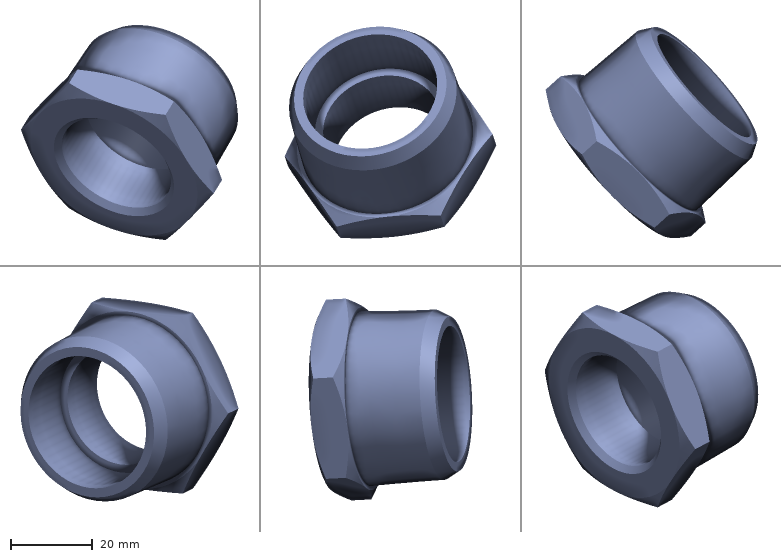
import cadquery as cq
import math

across_corners = 51.95
total_length = 31.0
head_length = 9.0
chamfer_angle = math.radians(30)
spigot_root_diameter = 43.0
spigot_end_diameter = 41.9
tip_diameter = 38.1
tip_length = 3.4
bore_diameter = 29.4
counterbore_diameter = 33.5
counterbore_depth = 15.35
mouth_diameter = 32.35
mouth_angle = math.radians(45)

corner_radius = across_corners / 2
flat_radius = corner_radius * math.cos(math.pi / 6)
corner_drop = (corner_radius - flat_radius) * math.tan(chamfer_angle)
bore_radius = bore_diameter / 2
counterbore_radius = counterbore_diameter / 2
counterbore_floor = total_length - counterbore_depth
mouth_radius = mouth_diameter / 2
mouth_depth = (mouth_radius - bore_radius) / math.tan(mouth_angle)


def revolve_about_y(profile):
    """Turn a closed (radius, y) profile about the Y axis."""
    return cq.Workplane("XY").polyline(profile).close().revolve(360, (0, 0, 0), (0, 1, 0))


def make_head():
    """Hexagon with corners on +/-X, its corners chamfered at both ends."""
    hexagon = cq.Workplane("XZ").polygon(6, across_corners).extrude(-head_length)
    envelope = revolve_about_y([
        (0, 0),
        (flat_radius, 0),
        (corner_radius, corner_drop),
        (corner_radius, head_length - corner_drop),
        (flat_radius, head_length),
        (0, head_length),
    ])
    return hexagon.intersect(envelope)


def make_spigot():
    """Slightly tapered spigot behind the head, with a conical tip."""
    return revolve_about_y([
        (0, head_length),
        (spigot_root_diameter / 2, head_length),
        (spigot_end_diameter / 2, total_length - tip_length),
        (tip_diameter / 2, total_length),
        (0, total_length),
    ])


def make_bore():
    """Through bore with a countersunk mouth in the head and a wider counterbore in the spigot."""
    return revolve_about_y([
        (0, 0),
        (mouth_radius, 0),
        (bore_radius, mouth_depth),
        (bore_radius, counterbore_floor),
        (counterbore_radius, counterbore_floor),
        (counterbore_radius, total_length),
        (0, total_length),
    ])


result = make_head().union(make_spigot()).cut(make_bore())